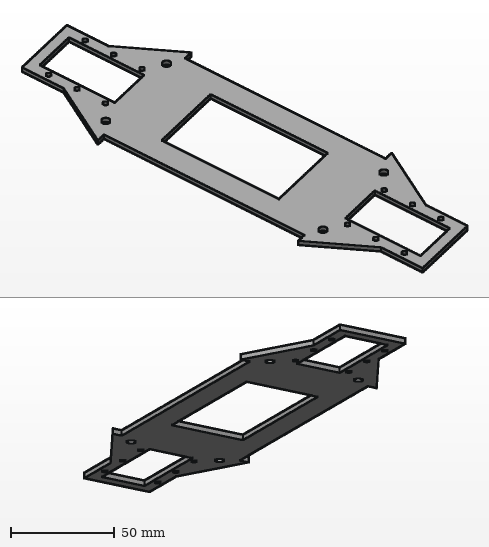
import cadquery as cq

LENGTH = 240.0
WIDTH = 76.8
THICKNESS = 3.0
BODY_WIDTH = 66.7
TAIL_WIDTH = 37.0
TAIL_LENGTH = 25.0
SHOULDER_SPACING = 120.0

CENTER_WINDOW_LENGTH = 70.0
CENTER_WINDOW_WIDTH = 40.0
END_WINDOW_LENGTH = 45.0
END_WINDOW_WIDTH = 24.0
END_WINDOW_MARGIN = 6.0

SMALL_HOLE_DIAMETER = 2.6
SMALL_HOLE_GROUP_X = 89.5
SMALL_HOLE_PITCH = 17.0
SMALL_HOLE_ROW_SPACING = 30.0
SMALL_HOLES_PER_ROW = 3
LARGE_HOLE_DIAMETER = 4.3
LARGE_HOLE_SPACING_X = 130.0
LARGE_HOLE_SPACING_Y = 50.0

END_WINDOW_X = LENGTH / 2 - END_WINDOW_MARGIN - END_WINDOW_LENGTH / 2


def make_plate():
    """Plate centred on the origin, symmetric about X and Y."""
    end_x = LENGTH / 2
    knee_x = end_x - TAIL_LENGTH
    shoulder_x = SHOULDER_SPACING / 2
    upper_edge = [
        (-end_x, TAIL_WIDTH / 2),
        (-knee_x, TAIL_WIDTH / 2),
        (-shoulder_x, WIDTH / 2),
        (-shoulder_x, BODY_WIDTH / 2),
        (shoulder_x, BODY_WIDTH / 2),
        (shoulder_x, WIDTH / 2),
        (knee_x, TAIL_WIDTH / 2),
        (end_x, TAIL_WIDTH / 2),
    ]
    lower_edge = [(x, -y) for x, y in reversed(upper_edge)]
    outline = cq.Workplane("XY").polyline(upper_edge + lower_edge).close()
    return outline.extrude(THICKNESS / 2, both=True)


def cut_windows(plate):
    """Cut the central window and one window in each end."""
    plate = plate.cut(cq.Workplane("XY").box(CENTER_WINDOW_LENGTH, CENTER_WINDOW_WIDTH, THICKNESS))
    for x in (-END_WINDOW_X, END_WINDOW_X):
        window = cq.Workplane("XY").box(END_WINDOW_LENGTH, END_WINDOW_WIDTH, THICKNESS)
        plate = plate.cut(window.translate((x, 0, 0)))
    return plate


def drill_holes(plate):
    """Drill rows of small holes beside the end windows and a large hole near each shoulder."""
    for x in (-SMALL_HOLE_GROUP_X, SMALL_HOLE_GROUP_X):
        top = plate.faces(">Z").workplane(origin=(x, 0, 0))
        small_holes = top.rarray(SMALL_HOLE_PITCH, SMALL_HOLE_ROW_SPACING, SMALL_HOLES_PER_ROW, 2)
        plate = small_holes.hole(SMALL_HOLE_DIAMETER)
    top = plate.faces(">Z").workplane(origin=(0, 0, 0))
    large_holes = top.rarray(LARGE_HOLE_SPACING_X, LARGE_HOLE_SPACING_Y, 2, 2)
    return large_holes.hole(LARGE_HOLE_DIAMETER)


result = drill_holes(cut_windows(make_plate()))